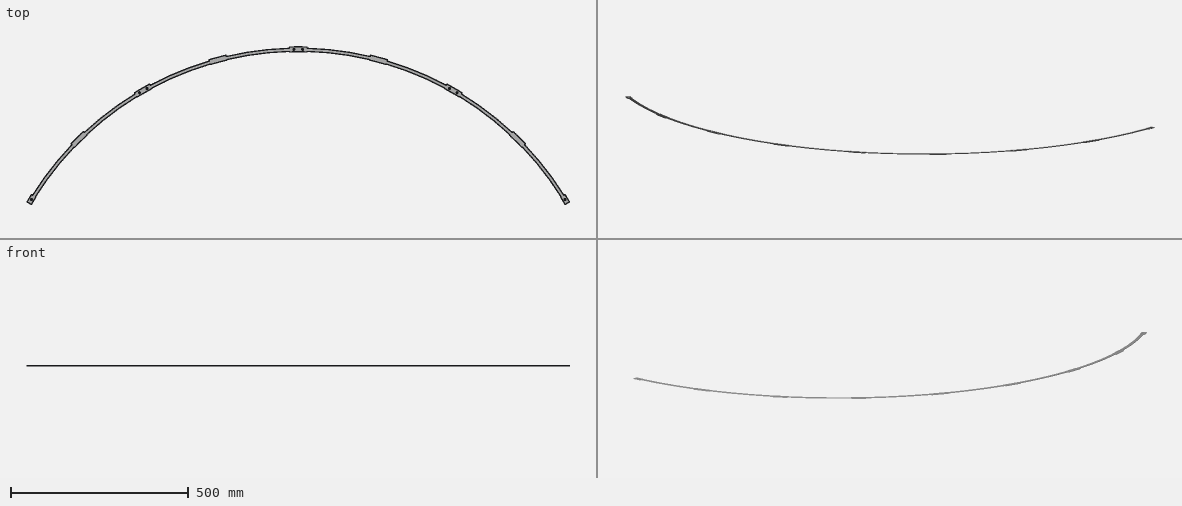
import cadquery as cq
import math

overall_length = 1525.0
thickness = 1.46

tab_outer_radius = 885.0
tab_height = 3.7
lip_height = 2.0
tab_half_angle = 1.6

strip_width = 9.5
strip_outer_radius = tab_outer_radius - tab_height
strip_inner_radius = strip_outer_radius - strip_width
lip_inner_radius = strip_inner_radius - lip_height

end_angle = math.degrees(math.asin(overall_length / 2 / tab_outer_radius))
steps_per_side = 4
station_pitch = end_angle / steps_per_side

hole_diameter = 5.0
hole_offset = 12.0
hole_station_step = 2
hole_circle_radius = (tab_outer_radius + lip_inner_radius) / 2


def polar_point(radius, angle):
    turn = math.radians(angle)
    return radius * math.sin(turn), radius * math.cos(turn)


def ring_sector(inner_radius, outer_radius, start, end):
    """Flat ring sector between two angles, cut off at the ends of the strip."""
    start = max(start, -end_angle)
    end = min(end, end_angle)
    middle = (start + end) / 2
    return (
        cq.Workplane("XY")
        .moveTo(*polar_point(inner_radius, start))
        .lineTo(*polar_point(outer_radius, start))
        .threePointArc(polar_point(outer_radius, middle), polar_point(outer_radius, end))
        .lineTo(*polar_point(inner_radius, end))
        .threePointArc(polar_point(inner_radius, middle), polar_point(inner_radius, start))
        .close()
        .extrude(thickness)
    )


def widened_station(station):
    """Tab on the outer edge and shallow lip on the inner edge, as one wider sector."""
    angle = station * station_pitch
    return ring_sector(
        lip_inner_radius, tab_outer_radius, angle - tab_half_angle, angle + tab_half_angle
    )


def hole_centres():
    """Centres of the hole pairs, leaving out those beyond the ends of the strip."""
    offset_angle = math.degrees(hole_offset / hole_circle_radius)
    centres = []
    for station in range(-steps_per_side, steps_per_side + 1, hole_station_step):
        for side in (-1, 1):
            angle = station * station_pitch + side * offset_angle
            if abs(angle) < end_angle:
                centres.append(polar_point(hole_circle_radius, angle))
    return centres


strip = ring_sector(strip_inner_radius, strip_outer_radius, -end_angle, end_angle)
for station in range(-steps_per_side, steps_per_side + 1):
    strip = strip.union(widened_station(station))

holes = (
    cq.Workplane("XY")
    .pushPoints(hole_centres())
    .circle(hole_diameter / 2)
    .extrude(thickness)
)

result = strip.cut(holes)